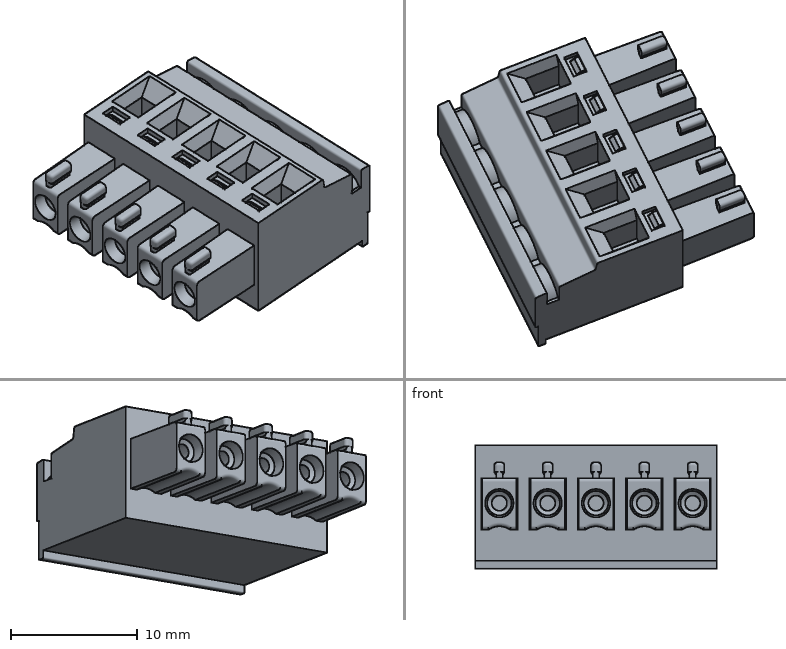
import cadquery as cq

POLES = 5
PITCH = 3.81
BODY_WIDTH = POLES * PITCH
BODY_DEPTH = 12.7
TOP_Z = 9.75
FLOOR_Z = 0.65

FOOT_DEPTH = 0.65
REAR_SETBACK = 0.25
REAR_STEP_Z = 3.2
RIM_LOW_Z = 7.96
RIM_HIGH_Z = 8.1
RIM_THICKNESS = 1.02
GROOVE_WIDTH = 1.02
GROOVE_REAR_Y = BODY_DEPTH - RIM_THICKNESS
GROOVE_FRONT_Y = GROOVE_REAR_Y - GROOVE_WIDTH
GROOVE_FLOOR_Z = 6.26
SLOPE_LOW_Z = 8.3
SLOPE_HIGH_Z = 8.8
STEP_LOW_Y = 7.52
STEP_HIGH_Y = 7.37
PROFILE_RADIUS = 0.2
SMALL_RADIUS = 0.12

RIDGE_CHORD = 3.34
RIDGE_HEIGHT = 1.0

FUNNEL_WIDTH = 2.85
FUNNEL_FRONT_Y = 2.7
FUNNEL_REAR_Y = 6.95
FUNNEL_DEPTH = 1.05
WELL_WIDTH = 1.88
WELL_REAR_Y = 5.55
WELL_DEPTH = 4.0

SLOT_WIDTH = 1.88
SLOT_FRONT_Y = 1.12
SLOT_REAR_Y = 2.25
SLOT_DEPTH = 0.45
RAMP_WIDTH = 1.3
RAMP_REAR_Y = 1.87
RAMP_CREST_Y = 1.5
RAMP_HEIGHT = 0.25

SOCKET_LENGTH = 6.4
SOCKET_BOTTOM_Z = 3.09
SOCKET_TOP_Z = 7.16
SOCKET_BASE_WIDTH = 2.89
SOCKET_TIP_WIDTH = 2.69
TIP_RADIUS = 0.3
BORE_Z = 5.18
MOUTH_DIAMETER = 2.24
THROAT_DIAMETER = 1.92
MOUTH_DEPTH = 1.0
CONE_DEPTH = 0.22
BORE_DIAMETER = 1.2
SCALLOP_DIAMETER = 3.0
SCALLOP_RISE = 0.26

KEY_REAR_Y = -3.87
KEY_FRONT_Y = -6.12
KEY_HEIGHT = 1.24
KEY_WIDTH = 0.8
STEM_WIDTH = 0.52
STEM_HEIGHT = 0.25
KEY_FLARE_HEIGHT = 0.24
KEY_END_RADIUS = 0.27
KEY_TOP_RADIUS = 0.26
STEM_RADIUS = 0.12

POLE_X = [(i - (POLES - 1) / 2) * PITCH for i in range(POLES)]


def extrude_across(points, width, center_x=0):
    """Extrude a closed (Y, Z) outline along X, centred on center_x."""
    plane = cq.Workplane("YZ", origin=(center_x - width / 2, 0, 0))
    return plane.polyline(points).close().extrude(width)


def block(width, y_range, z_range, center_x=0):
    """Box of the given X width spanning a Y range and a Z range."""
    (y0, y1), (z0, z1) = y_range, z_range
    return extrude_across([(y0, z0), (y1, z0), (y1, z1), (y0, z1)], width, center_x)


def round_corner(solid, corner, radius):
    """Fillet the X-parallel edge that passes through a (Y, Z) corner."""
    edge = solid.edges("|X").edges(cq.selectors.NearestToPointSelector((0, *corner)))
    return edge.fillet(radius)


def make_body():
    """Housing extruded from its side profile, with a slot groove and foot at the rear."""
    lower_rear_y = BODY_DEPTH - REAR_SETBACK
    foot_front_y = lower_rear_y - FOOT_DEPTH
    foot_rear = (lower_rear_y, 0)
    overhang = (BODY_DEPTH, REAR_STEP_Z)
    rim_rear = (BODY_DEPTH, RIM_LOW_Z)
    rim_front = (GROOVE_REAR_Y, RIM_HIGH_Z)
    slope_rear = (GROOVE_FRONT_Y, SLOPE_LOW_Z)
    step_low = (STEP_LOW_Y, SLOPE_HIGH_Z)
    step_high = (STEP_HIGH_Y, TOP_Z)
    foot_front = (foot_front_y, 0)
    body = extrude_across(
        [
            (0, FLOOR_Z),
            (foot_front_y, FLOOR_Z),
            foot_front,
            foot_rear,
            (lower_rear_y, REAR_STEP_Z),
            overhang,
            rim_rear,
            rim_front,
            (GROOVE_REAR_Y, GROOVE_FLOOR_Z),
            (GROOVE_FRONT_Y, GROOVE_FLOOR_Z),
            slope_rear,
            step_low,
            step_high,
            (0, TOP_Z),
        ],
        BODY_WIDTH,
    )
    for corner in (rim_rear, rim_front, slope_rear, step_low, step_high):
        body = round_corner(body, corner, PROFILE_RADIUS)
    for corner in (overhang, foot_rear, foot_front):
        body = round_corner(body, corner, SMALL_RADIUS)
    return body


def make_ridge(x):
    """Circular-segment ridge lying across the rear groove."""
    return (
        cq.Workplane("XZ", origin=(x, GROOVE_REAR_Y, GROOVE_FLOOR_Z))
        .moveTo(-RIDGE_CHORD / 2, 0)
        .threePointArc((0, RIDGE_HEIGHT), (RIDGE_CHORD / 2, 0))
        .close()
        .extrude(GROOVE_WIDTH)
    )


def make_wire_entry(x):
    """Funnel with three sloping sides and an upright front, leading into a square well."""
    funnel_length = FUNNEL_REAR_Y - FUNNEL_FRONT_Y
    well_length = WELL_REAR_Y - FUNNEL_FRONT_Y
    funnel = (
        cq.Workplane("XY", origin=(x, FUNNEL_FRONT_Y, TOP_Z))
        .center(0, funnel_length / 2)
        .rect(FUNNEL_WIDTH, funnel_length)
        .workplane(offset=-FUNNEL_DEPTH)
        .center(0, (well_length - funnel_length) / 2)
        .rect(WELL_WIDTH, well_length)
        .loft(ruled=True)
    )
    well_z = (TOP_Z - WELL_DEPTH, TOP_Z - FUNNEL_DEPTH)
    well = block(WELL_WIDTH, (FUNNEL_FRONT_Y, WELL_REAR_Y), well_z, x)
    return funnel.union(well)


def make_test_slot(x):
    """Shallow slot, with a ramped block left standing at its front wall."""
    slot_floor_z = TOP_Z - SLOT_DEPTH
    slot = block(SLOT_WIDTH, (SLOT_FRONT_Y, SLOT_REAR_Y), (slot_floor_z, TOP_Z), x)
    ramp = extrude_across(
        [
            (SLOT_FRONT_Y, slot_floor_z),
            (RAMP_REAR_Y, slot_floor_z),
            (RAMP_CREST_Y, slot_floor_z + RAMP_HEIGHT),
            (SLOT_FRONT_Y, slot_floor_z + RAMP_HEIGHT),
        ],
        RAMP_WIDTH,
        x,
    )
    return slot.cut(ramp)


def make_socket(x):
    """Tapered contact shroud with a scalloped underside and rounded tip edges."""
    height = SOCKET_TOP_Z - SOCKET_BOTTOM_Z
    shroud = (
        cq.Workplane("XY", origin=(x, 0, SOCKET_BOTTOM_Z))
        .polyline([
            (-SOCKET_BASE_WIDTH / 2, 0),
            (-SOCKET_TIP_WIDTH / 2, -SOCKET_LENGTH),
            (SOCKET_TIP_WIDTH / 2, -SOCKET_LENGTH),
            (SOCKET_BASE_WIDTH / 2, 0),
        ])
        .close()
        .extrude(height)
    )
    scallop_radius = SCALLOP_DIAMETER / 2
    scallop = (
        cq.Workplane("XZ", origin=(x, 0, SOCKET_BOTTOM_Z + SCALLOP_RISE - scallop_radius))
        .circle(scallop_radius)
        .extrude(SOCKET_LENGTH)
    )
    return shroud.cut(scallop).faces("<Y").edges("not |Z").fillet(TIP_RADIUS)


def make_bore(x):
    """Stepped contact bore turned about the socket axis: tapered mouth, cone, then a narrow bore to Y=0."""
    mouth_end = MOUTH_DEPTH - SOCKET_LENGTH
    cone_end = mouth_end + CONE_DEPTH
    return (
        cq.Workplane("XY", origin=(x, 0, BORE_Z))
        .polyline([
            (0, -SOCKET_LENGTH),
            (MOUTH_DIAMETER / 2, -SOCKET_LENGTH),
            (THROAT_DIAMETER / 2, mouth_end),
            (BORE_DIAMETER / 2, cone_end),
            (BORE_DIAMETER / 2, 0),
            (0, 0),
        ])
        .close()
        .revolve(360, (0, 0), (0, 1))
    )


def make_key(x):
    """Mushroom-shaped coding key: narrow stem, flared and rounded head."""
    length = KEY_REAR_Y - KEY_FRONT_Y
    middle_y = (KEY_REAR_Y + KEY_FRONT_Y) / 2
    stem = (
        cq.Workplane("XY", origin=(x, middle_y, SOCKET_TOP_Z))
        .rect(STEM_WIDTH, length)
        .extrude(STEM_HEIGHT + KEY_FLARE_HEIGHT)
        .edges("|Z and <Y")
        .fillet(STEM_RADIUS)
    )
    flare = (KEY_WIDTH - STEM_WIDTH) / 2
    head = (
        cq.Workplane("XY", origin=(x, middle_y, SOCKET_TOP_Z + STEM_HEIGHT))
        .rect(KEY_WIDTH, length)
        .extrude(KEY_HEIGHT - STEM_HEIGHT)
        .edges("|Z and <Y")
        .fillet(KEY_END_RADIUS)
        .faces("<Z")
        .edges("|Y")
        .chamfer(flare, KEY_FLARE_HEIGHT)
        .faces(">Z")
        .edges("not >Y")
        .fillet(KEY_TOP_RADIUS)
    )
    return stem.union(head)


result = make_body()
for pole_x in POLE_X:
    result = result.union(make_ridge(pole_x))
    result = result.cut(make_wire_entry(pole_x))
    result = result.cut(make_test_slot(pole_x))
    result = result.union(make_socket(pole_x))
    result = result.union(make_key(pole_x))
    result = result.cut(make_bore(pole_x))